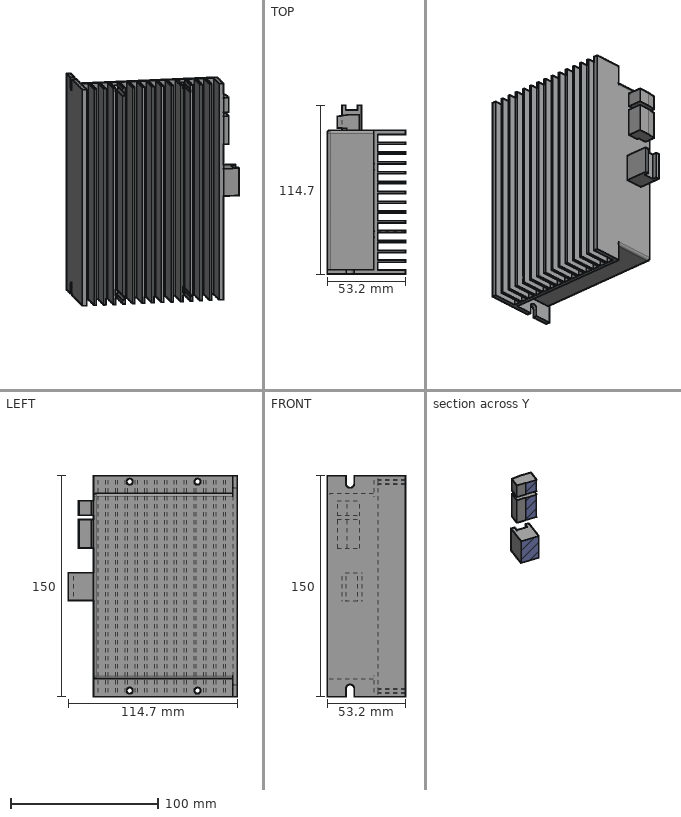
import cadquery as cq

WIDTH = 53.2
HEIGHT = 150.0
TOTAL_DEPTH = 114.7
BODY_DEPTH = 97.7

END_WALL = 3.0
BASE_FRONT = 31.8
BASE_THICKNESS = 2.7
FIN_COUNT = 13
FIN_THICKNESS = 1.6
FIN_ROOT = BASE_FRONT + BASE_THICKNESS
FIN_GAP = (BODY_DEPTH - 2 * END_WALL - FIN_COUNT * FIN_THICKNESS) / (FIN_COUNT + 1)
FIN_PITCH = FIN_GAP + FIN_THICKNESS

COVER_HEIGHT = 125.7
COVER_RADIUS = 2.0

SLOT_X = 15.6
SLOT_WIDTH = 5.5
SLOT_DEPTH = 8.25
HOLE_DIAMETER = 4.0
HOLE_EDGE_DISTANCE = 4.15
HOLE_FIRST_Y = 27.0
HOLE_SPACING = 46.0

TERMINAL_LEFT = 6.9
TERMINAL_RIGHT = 21.8
TERMINAL_STEP_X = 13.5
TERMINAL_REACH = 10.3
TERMINAL_SLOPE = 0.9
TERMINAL_CLEARANCE = 1.4
TERMINALS = [(48.0, 10.0), (25.8, 19.5)]

SOCKET_LEFT = 10.0
SOCKET_WIDTH = 13.4
SOCKET_REACH = TOTAL_DEPTH - BODY_DEPTH
SOCKET_WALL = 2.8
SOCKET_CHANNEL_DEPTH = 3.3
SOCKET_BOTTOM = -9.8
SOCKET_HEIGHT = 19.0


def block(x0, x1, y0, y1, z0, z1):
    """Box between two opposite corners."""
    return cq.Workplane("XY").box(x1 - x0, y1 - y0, z1 - z0, centered=False).translate((x0, y0, z0))


def heat_sink():
    """Full-height extrusion; the origin is at the flange corner, half way up."""
    z0, z1 = -HEIGHT / 2, HEIGHT / 2
    sink = block(0, WIDTH, 0, END_WALL, z0, z1)
    sink = sink.union(block(BASE_FRONT, FIN_ROOT, 0, BODY_DEPTH, z0, z1))
    sink = sink.union(block(BASE_FRONT, WIDTH, BODY_DEPTH - END_WALL, BODY_DEPTH, z0, z1))
    for i in range(FIN_COUNT):
        y = END_WALL + FIN_GAP + i * FIN_PITCH
        sink = sink.union(block(BASE_FRONT, WIDTH, y, y + FIN_THICKNESS, z0, z1))
    return sink


def cover():
    """Solid electronics housing, rounded on its free outer edges."""
    box = block(0, BASE_FRONT, END_WALL, BODY_DEPTH, -COVER_HEIGHT / 2, COVER_HEIGHT / 2)
    left_edges = box.faces("<X").edges("not <Y")
    rear_edges = box.faces(">Y").edges("|X")
    return box.newObject(left_edges.add(rear_edges).vals()).fillet(COVER_RADIUS)


def flange_slot(side):
    """Open round-ended slot; side is +1 for the top and -1 for the bottom."""
    radius = SLOT_WIDTH / 2
    z_edge = side * HEIGHT / 2
    z_centre = side * (HEIGHT / 2 - SLOT_DEPTH + radius)
    z0, z1 = sorted((z_edge, z_centre))
    channel = block(SLOT_X - radius, SLOT_X + radius, 0, END_WALL, z0, z1)
    round_end = cq.Workplane("XZ", origin=(SLOT_X, 0, z_centre)).circle(radius).extrude(-END_WALL)
    return channel.union(round_end)


def mounting_holes():
    """Four holes along X through the base, nicking the fins they pass."""
    z = HEIGHT / 2 - HOLE_EDGE_DISTANCE
    points = [(HOLE_FIRST_Y + i * HOLE_SPACING, side * z) for i in (0, 1) for side in (-1, 1)]
    return (
        cq.Workplane("YZ", origin=(BASE_FRONT, 0, 0))
        .pushPoints(points)
        .circle(HOLE_DIAMETER / 2)
        .extrude(WIDTH - BASE_FRONT)
    )


def terminal(bottom, height):
    """Plug-in terminal block with an overhang and a sloped rear face."""
    rear = BODY_DEPTH + TERMINAL_REACH
    underside = BODY_DEPTH + TERMINAL_CLEARANCE
    outline = [
        (TERMINAL_RIGHT, BODY_DEPTH),
        (TERMINAL_RIGHT, rear),
        (TERMINAL_STEP_X, rear),
        (TERMINAL_LEFT, rear - TERMINAL_SLOPE),
        (TERMINAL_LEFT, underside),
        (TERMINAL_STEP_X, underside),
        (TERMINAL_STEP_X, BODY_DEPTH),
    ]
    return cq.Workplane("XY", origin=(0, 0, bottom)).polyline(outline).close().extrude(height)


def socket():
    """Block connector with an open vertical channel in its rear face."""
    right = SOCKET_LEFT + SOCKET_WIDTH
    rear = BODY_DEPTH + SOCKET_REACH
    top = SOCKET_BOTTOM + SOCKET_HEIGHT
    body = block(SOCKET_LEFT, right, BODY_DEPTH, rear, SOCKET_BOTTOM, top)
    channel = block(
        SOCKET_LEFT + SOCKET_WALL, right - SOCKET_WALL, rear - SOCKET_CHANNEL_DEPTH, rear, SOCKET_BOTTOM, top
    )
    return body.cut(channel)


result = heat_sink().union(cover())
for side in (-1, 1):
    result = result.cut(flange_slot(side))
result = result.cut(mounting_holes())
for bottom, height in TERMINALS:
    result = result.union(terminal(bottom, height))
result = result.union(socket())